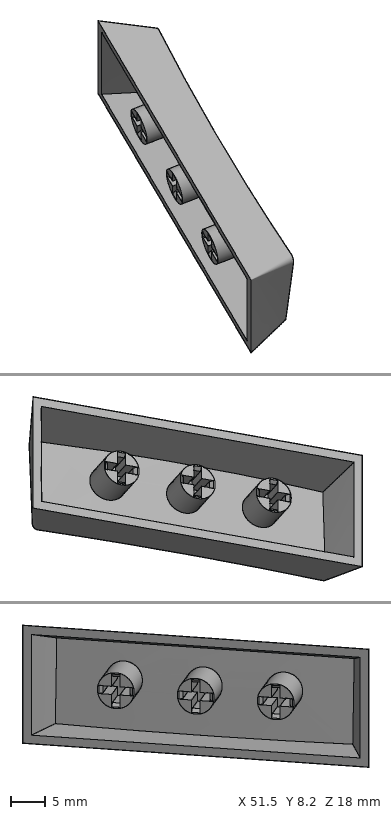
import cadquery as cq
import math

rim_width = 51.5
rim_height = 18.0
rim_corner_radius = 0.025
face_width = 46.25
face_corner_radius = 0.9
face_top = (8.2, 6.15)
face_bottom = (6.8, -8.8)

mouth_width = 48.9
mouth_height = 15.35
floor_width = 44.25
floor_top = (6.4, 5.3)
floor_bottom = (5.45, -7.45)

dish_sag = 0.65

post_pitch = 11.9
post_radius = 2.75
post_count = 3
slot_width = 1.25
slot_length = 4.0
slot_mouth_length = 5.0
slot_lead_in = 0.5
slot_depth = 3.85


def tilted_plane(bottom, top):
    """Plane through the lower and upper edge, X along the part, local Y up the slope."""
    rise_y = top[0] - bottom[0]
    rise_z = top[1] - bottom[1]
    middle = (0, (top[0] + bottom[0]) / 2, (top[1] + bottom[1]) / 2)
    return cq.Plane(origin=middle, xDir=(1, 0, 0), normal=(0, -rise_z, rise_y))


def slope_length(bottom, top):
    return math.hypot(top[0] - bottom[0], top[1] - bottom[1])


def rectangle_wire(plane, width, height, radius=0):
    """Rectangle centred on the plane, with rounded corners if a radius is given."""
    outline = cq.Sketch().rect(width, height)
    if radius:
        outline = outline.vertices().fillet(radius)
    return cq.Workplane(plane).placeSketch(outline).extrude(0.5).faces(
        cq.selectors.DirectionMinMaxSelector(plane.zDir, False)
    ).wires().val()


def dish(plane, width, height):
    """Cylinder whose lowest line lies dish_sag below the plane and which meets it at +/- width / 2."""
    half_width = width / 2
    radius = (half_width**2 + dish_sag**2) / (2 * dish_sag)
    axis_plane = cq.Plane(
        origin=plane.toWorldCoords((0, -height, dish_sag - radius)),
        xDir=plane.xDir,
        normal=plane.yDir,
    )
    return cq.Workplane(axis_plane).circle(radius).extrude(2 * height)


def dished_frustum(base, far_plane, width, height, radius=0):
    """Ruled body from the base wire to a rectangle on the far plane, dished at the far end."""
    far_wire = rectangle_wire(far_plane, width, height, radius)
    body = cq.Workplane(cq.Solid.makeLoft([base, far_wire], True))
    return body.cut(dish(far_plane, width - 2 * radius, height))


def socket_arm():
    """Slot along X with sloped lead-in ends at its mouth."""
    half_mouth = slot_mouth_length / 2
    half_slot = slot_length / 2
    return (
        cq.Workplane("XY")
        .moveTo(-half_mouth, 0)
        .lineTo(half_mouth, 0)
        .lineTo(half_slot, slot_lead_in)
        .lineTo(half_slot, slot_depth)
        .lineTo(-half_slot, slot_depth)
        .lineTo(-half_slot, slot_lead_in)
        .close()
        .extrude(slot_width / 2, both=True)
    )


rim_plane = cq.Plane.XZ()

outer = dished_frustum(
    rectangle_wire(rim_plane, rim_width, rim_height, rim_corner_radius),
    tilted_plane(face_bottom, face_top),
    face_width,
    slope_length(face_bottom, face_top),
    face_corner_radius,
)
pocket = dished_frustum(
    rectangle_wire(rim_plane, mouth_width, mouth_height),
    tilted_plane(floor_bottom, floor_top),
    floor_width,
    slope_length(floor_bottom, floor_top),
)

post_positions = [((i - (post_count - 1) / 2) * post_pitch, 0) for i in range(post_count)]
post_length = (floor_bottom[0] + floor_top[0]) / 2
posts = cq.Workplane(rim_plane).pushPoints(post_positions).circle(post_radius).extrude(-post_length)

result = outer.cut(pocket.cut(posts))

arm = socket_arm()
cross = arm.union(arm.rotate((0, 0, 0), (0, 1, 0), 90))
for x, z in post_positions:
    result = result.cut(cross.translate((x, 0, z)))